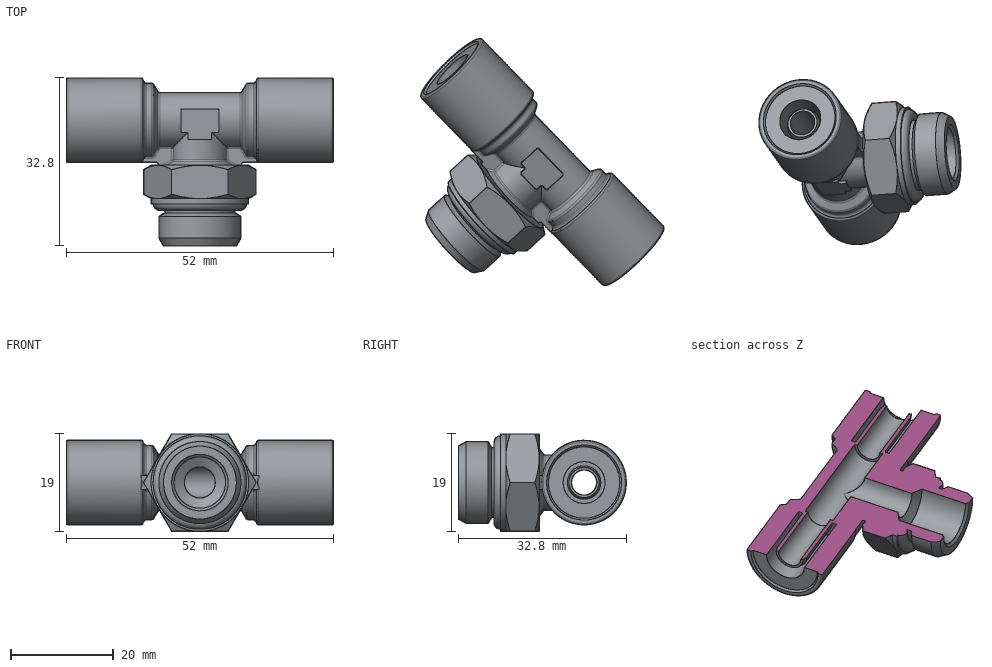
import cadquery as cq
import math


ARM_LENGTH = 26.0
SLEEVE_RADIUS = 16.5 / 2
SLEEVE_INNER_END = 11.05
SLEEVE_EDGE_ROUND = 0.4
SLEEVE_MOUTH_ROUND = 0.3
COLLAR_RADIUS = 7.25
COLLAR_OUTER_END = 10.6
COLLAR_INNER_END = 9.12
COLLAR_ROUND = 0.5
COLLAR_BLEND = 0.35
STEP_RADIUS = 7.8
BODY_RADIUS = 5.42
CONE_ANGLE = 60.0

FACE_RECESS_RADIUS = 7.3
FACE_RECESS_FLOOR_RADIUS = 6.95
FACE_RECESS_DEPTH = 0.4
TUBE_RADIUS = 8.15 / 2
SOCKET_DEPTH = 14.0
SUPPORT_RADIUS = 6.5 / 2
SUPPORT_TIP_RADIUS = 5.85 / 2
SUPPORT_TIP_DEPTH = 1.9
SUPPORT_TAPER_LENGTH = 1.0
SUPPORT_BORE_RADIUS = 4.85 / 2

STEM_END = 24.5
FLARE_START = 7.85
FLARE_RADIUS = 6.6
FLARE_ROUND = 0.4
NUT_TOP = 8.7
HEX_TOP_RADIUS = 18.8 / 2
HEX_BOTTOM = 15.25
HEX_FLATS = 19.0
HEX_CHAMFER_ANGLE = 30.0
NUT_BOTTOM = 16.25
SEAL_RADIUS = 9.1
SEAL_SECTION_RADIUS = 1.3
NECK_RADIUS = 13.7 / 2
NECK_END = 18.0
THREAD_RADIUS = 16.0 / 2
THREAD_START = 18.7
THREAD_CHAMFER = 1.55
THREAD_CHAMFER_ANGLE = 30.0

CROSS_BORE_RADIUS = 6.0 / 2
STEM_BORE_RADIUS = 10.0 / 2
STEM_BORE_DEPTH = 10.0
STEM_BORE_CHAMFER = 0.5
DRILL_TIP_ANGLE = 118.0

PAD_HEIGHT = 5.5
PAD_HALF_WIDTH = 3.7
PAD_NECK_HALF_WIDTH = 2.3
PAD_BACK = 2.25
PAD_STEP = -2.35
PAD_FRONT = -3.75
PAD_ROUND = 0.25

WEB_HALF_THICKNESS = 1.4
WEB_HALF_LENGTH = 11.5
WEB_FRONT = -8.2
WEB_FOOT_HALF_LENGTH = 8.15
WEB_FOOT_ROUND = 0.3
WEB_ROOT_ROUND = 0.35

EDGE_MARGIN = 0.02


def rounded_outline(workplane, points):
    """Closed outline through (u, v, corner radius) points, with each round as a true arc."""
    path = None
    count = len(points)
    for index, (u, v, radius) in enumerate(points):
        corner = cq.Vector(u, v)
        to_last = (cq.Vector(*points[index - 1][:2]) - corner).normalized()
        to_next = (cq.Vector(*points[(index + 1) % count][:2]) - corner).normalized()
        half_angle = to_last.getAngle(to_next) / 2
        setback = radius / math.tan(half_angle)
        start = corner + to_last * setback
        path = workplane.moveTo(start.x, start.y) if path is None else path.lineTo(start.x, start.y)
        if radius > 0:
            bisector = (to_last + to_next).normalized()
            middle = corner + bisector * (radius / math.sin(half_angle) - radius)
            end = corner + to_next * setback
            path = path.threePointArc((middle.x, middle.y), (end.x, end.y))
    return path.close()


def turned_on_x(profile):
    outline = rounded_outline(cq.Workplane("XY"), profile)
    return outline.revolve(360, (0, 0, 0), (1, 0, 0))


def turned_on_stem(profile):
    swapped = [(radius, -distance, corner) for distance, radius, corner in profile]
    outline = rounded_outline(cq.Workplane("XY"), swapped)
    return outline.revolve(360, (0, 0, 0), (0, 1, 0))


def both_arms(right_arm):
    return right_arm.union(right_arm.mirror("YZ"))


def arm_core():
    """Body half with the cone and collar of one arm, joined to its web by rounded roots."""
    cone_length = (COLLAR_RADIUS - BODY_RADIUS) / math.tan(math.radians(CONE_ANGLE))
    core = turned_on_x([
        (0, 0, 0),
        (0, BODY_RADIUS, 0),
        (COLLAR_INNER_END - cone_length, BODY_RADIUS, COLLAR_ROUND),
        (COLLAR_INNER_END, COLLAR_RADIUS, COLLAR_ROUND),
        (WEB_HALF_LENGTH, COLLAR_RADIUS, 0),
        (WEB_HALF_LENGTH, 0, 0),
    ])
    web = (
        cq.Workplane("XY")
        .rect(WEB_HALF_LENGTH, WEB_FRONT, centered=False)
        .extrude(WEB_HALF_THICKNESS, both=True)
    )
    inside_web = cq.selectors.BoxSelector(
        (EDGE_MARGIN, -BODY_RADIUS / 2, -WEB_HALF_THICKNESS - EDGE_MARGIN),
        (WEB_HALF_LENGTH - EDGE_MARGIN, WEB_FRONT + EDGE_MARGIN, WEB_HALF_THICKNESS + EDGE_MARGIN),
    )
    return core.union(web).edges(inside_web).fillet(WEB_ROOT_ROUND)


def sleeve():
    return turned_on_x([
        (COLLAR_INNER_END + COLLAR_ROUND, 0, 0),
        (COLLAR_INNER_END + COLLAR_ROUND, COLLAR_RADIUS, 0),
        (COLLAR_OUTER_END, COLLAR_RADIUS, COLLAR_BLEND),
        (SLEEVE_INNER_END, STEP_RADIUS, 0),
        (SLEEVE_INNER_END, SLEEVE_RADIUS, SLEEVE_EDGE_ROUND),
        (ARM_LENGTH, SLEEVE_RADIUS, SLEEVE_MOUTH_ROUND),
        (ARM_LENGTH, 0, 0),
    ])


def tube_socket():
    """Material removed from an arm end: face recess and the annular gap around the tube support."""
    face = ARM_LENGTH - FACE_RECESS_DEPTH
    support_tip = face - SUPPORT_TIP_DEPTH
    return turned_on_x([
        (ARM_LENGTH, 0, 0),
        (ARM_LENGTH, FACE_RECESS_RADIUS, 0),
        (face, FACE_RECESS_FLOOR_RADIUS, 0),
        (face, TUBE_RADIUS, 0),
        (face - SOCKET_DEPTH, TUBE_RADIUS, 0),
        (face - SOCKET_DEPTH, SUPPORT_RADIUS, 0),
        (support_tip - SUPPORT_TAPER_LENGTH, SUPPORT_RADIUS, 0),
        (support_tip, SUPPORT_TIP_RADIUS, 0),
        (support_tip, 0, 0),
    ])


def arm_bore():
    wide_end = ARM_LENGTH - FACE_RECESS_DEPTH - SOCKET_DEPTH - (SUPPORT_RADIUS - SUPPORT_BORE_RADIUS)
    wide = cq.Workplane("YZ").circle(CROSS_BORE_RADIUS).extrude(wide_end)
    narrow = cq.Workplane("YZ").circle(SUPPORT_BORE_RADIUS).extrude(ARM_LENGTH)
    return wide.union(narrow)


def web_foot():
    """Full-length web plate that narrows to a foot standing on the nut."""
    outline = [
        (-WEB_HALF_LENGTH, 0, 0),
        (WEB_HALF_LENGTH, 0, 0),
        (WEB_HALF_LENGTH, WEB_FRONT, 0),
        (WEB_FOOT_HALF_LENGTH, WEB_FRONT, WEB_FOOT_ROUND),
        (WEB_FOOT_HALF_LENGTH, -NUT_TOP, 0),
        (-WEB_FOOT_HALF_LENGTH, -NUT_TOP, 0),
        (-WEB_FOOT_HALF_LENGTH, WEB_FRONT, WEB_FOOT_ROUND),
        (-WEB_HALF_LENGTH, WEB_FRONT, 0),
    ]
    return rounded_outline(cq.Workplane("XY"), outline).extrude(WEB_HALF_THICKNESS, both=True)


def stem_shank():
    """Shank and flare above the nut, joined to the web foot by rounded roots."""
    shank = turned_on_stem([
        (0, 0, 0),
        (0, BODY_RADIUS, 0),
        (FLARE_START, BODY_RADIUS, FLARE_ROUND),
        (NUT_TOP, FLARE_RADIUS, 0),
        (NUT_TOP, 0, 0),
    ])
    inside_foot = cq.selectors.BoxSelector(
        (-FLARE_RADIUS, -EDGE_MARGIN, -WEB_HALF_THICKNESS - EDGE_MARGIN),
        (FLARE_RADIUS, -NUT_TOP + EDGE_MARGIN, WEB_HALF_THICKNESS + EDGE_MARGIN),
    )
    return shank.union(web_foot()).edges(inside_foot).fillet(WEB_ROOT_ROUND)


def threaded_end():
    tip_drop = THREAD_CHAMFER * math.tan(math.radians(THREAD_CHAMFER_ANGLE))
    return turned_on_stem([
        (NUT_TOP, 0, 0),
        (NUT_TOP, HEX_TOP_RADIUS, 0),
        (HEX_BOTTOM, HEX_TOP_RADIUS, 0),
        (HEX_BOTTOM, HEX_FLATS / 2, 0),
        (NUT_BOTTOM, HEX_FLATS / 2, 0),
        (NUT_BOTTOM, NECK_RADIUS, 0),
        (NECK_END, NECK_RADIUS, 0),
        (THREAD_START, THREAD_RADIUS, 0),
        (STEM_END - THREAD_CHAMFER, THREAD_RADIUS, 0),
        (STEM_END, THREAD_RADIUS - tip_drop, 0),
        (STEM_END, 0, 0),
    ])


def hex_nut():
    """Hexagon with corners on X, both ends chamfered by cones that start near the flats."""
    corner_radius = HEX_FLATS / 2 / math.cos(math.radians(30))
    slope = math.tan(math.radians(HEX_CHAMFER_ANGLE))
    outer = corner_radius + 1
    chamfer_top = (outer - HEX_TOP_RADIUS) * slope
    chamfer_bottom = (outer - HEX_FLATS / 2) * slope
    hexagon = (
        cq.Workplane("XZ", origin=(0, -NUT_TOP, 0))
        .polygon(6, 2 * corner_radius)
        .extrude(HEX_BOTTOM - NUT_TOP)
    )
    envelope = turned_on_stem([
        (NUT_TOP, 0, 0),
        (NUT_TOP, HEX_TOP_RADIUS, 0),
        (NUT_TOP + chamfer_top, outer, 0),
        (HEX_BOTTOM - chamfer_bottom, outer, 0),
        (HEX_BOTTOM, HEX_FLATS / 2, 0),
        (HEX_BOTTOM, 0, 0),
    ])
    return hexagon.intersect(envelope)


def seal_ring():
    """O-ring half sunk into the lower face of the nut."""
    return cq.Workplane(cq.Solid.makeTorus(
        SEAL_RADIUS - SEAL_SECTION_RADIUS,
        SEAL_SECTION_RADIUS,
        cq.Vector(0, -NUT_BOTTOM, 0),
        cq.Vector(0, 1, 0),
    ))


def stem_bore():
    shoulder = STEM_END - STEM_BORE_DEPTH
    tip_length = (STEM_BORE_RADIUS - CROSS_BORE_RADIUS) / math.tan(math.radians(DRILL_TIP_ANGLE / 2))
    return turned_on_stem([
        (0, 0, 0),
        (0, CROSS_BORE_RADIUS, 0),
        (shoulder - tip_length, CROSS_BORE_RADIUS, 0),
        (shoulder, STEM_BORE_RADIUS, 0),
        (STEM_END - STEM_BORE_CHAMFER, STEM_BORE_RADIUS, 0),
        (STEM_END, STEM_BORE_RADIUS + STEM_BORE_CHAMFER, 0),
        (STEM_END, 0, 0),
    ])


def pads():
    outline = [
        (-PAD_HALF_WIDTH, PAD_BACK, PAD_ROUND),
        (PAD_HALF_WIDTH, PAD_BACK, PAD_ROUND),
        (PAD_HALF_WIDTH, PAD_STEP, PAD_ROUND),
        (PAD_NECK_HALF_WIDTH, PAD_STEP, PAD_ROUND),
        (PAD_NECK_HALF_WIDTH, PAD_FRONT, PAD_ROUND),
        (-PAD_NECK_HALF_WIDTH, PAD_FRONT, PAD_ROUND),
        (-PAD_NECK_HALF_WIDTH, PAD_STEP, PAD_ROUND),
        (-PAD_HALF_WIDTH, PAD_STEP, PAD_ROUND),
    ]
    return rounded_outline(cq.Workplane("XY"), outline).extrude(PAD_HEIGHT, both=True)


solid_body = (
    both_arms(arm_core())
    .union(both_arms(sleeve()))
    .union(stem_shank())
    .union(threaded_end())
    .union(hex_nut())
    .union(seal_ring())
    .union(pads())
)
result = (
    solid_body
    .cut(both_arms(arm_bore()))
    .cut(stem_bore())
    .cut(both_arms(tube_socket()))
)